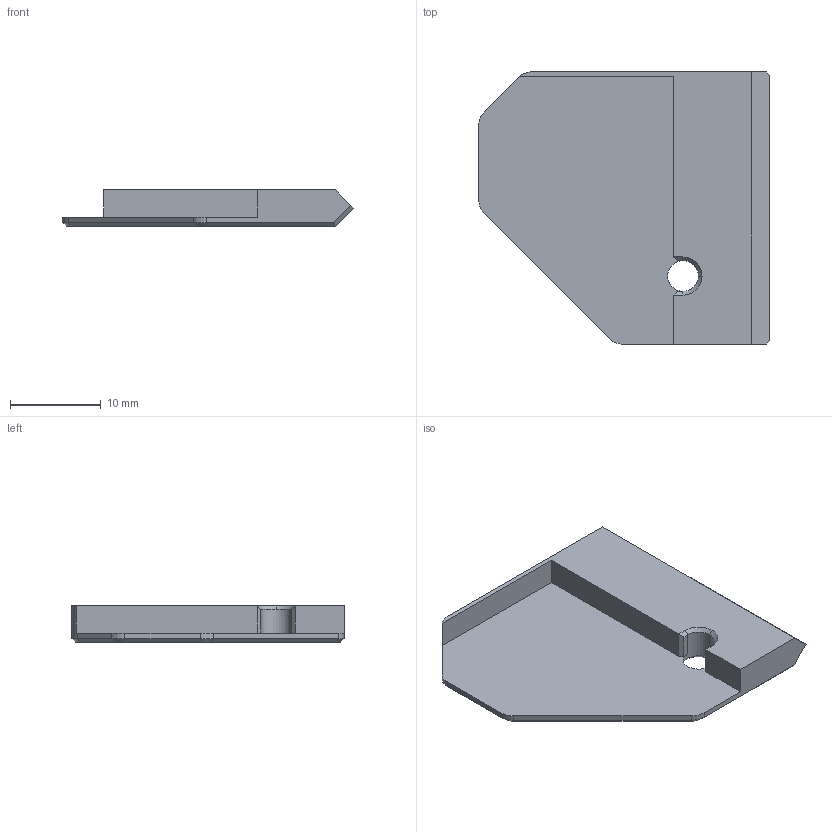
import cadquery as cq

length = 32.0
width = 30.0
height = 4.0

back_corner_cut = 5.0
front_corner_cut = 15.0
corner_radius = 2.0
nose_depth = height / 2

floor_thickness = 1.0
rear_wall = 0.5
step_x = 21.5

hole_diameter = 3.4
hole_setback = 1.0
hole_x = step_x + hole_setback
hole_y = 7.5

edge_chamfer = 0.4


def make_blank():
    """Pointed bar profile trimmed to the outline with cut and rounded corners."""
    nose_start = length - nose_depth
    bar = (
        cq.Workplane("XZ")
        .polyline([(0, 0), (nose_start, 0), (length, nose_depth), (nose_start, height), (0, height)])
        .close()
        .extrude(-width)
    )
    outline = (
        cq.Workplane("XY")
        .polyline([
            (front_corner_cut, 0),
            (length, 0),
            (length, width),
            (back_corner_cut, width),
            (0, width - back_corner_cut),
            (0, front_corner_cut),
        ])
        .close()
        .extrude(height)
        .edges("|Z and (not >X)")
        .fillet(corner_radius)
    )
    return bar.intersect(outline)


def chamfer_underside(body):
    """Chamfer the bottom outline and the ends of the lower nose bevel."""
    nose_ends = cq.selectors.BoxSelector(
        (length - nose_depth, -edge_chamfer, 0), (length, width + edge_chamfer, nose_depth)
    )
    bottom_outline = body.faces("<Z").edges("not >X")
    bevel_ends = body.edges(nose_ends).edges("not |Y")
    return bottom_outline.add(bevel_ends).chamfer(edge_chamfer)


def cut_pocket(body):
    """Lower the left area to the floor, leaving the thin rear wall."""
    pocket = cq.Workplane("XY").box(
        step_x, width - rear_wall, height - floor_thickness, centered=False
    )
    return body.cut(pocket.translate((0, 0, floor_thickness)))


def cut_screw_hole(body):
    """Drill the hole, open it to the pocket and chamfer the opening and both rims."""
    hole = cq.Workplane("XY").center(hole_x, hole_y).circle(hole_diameter / 2).extrude(height)
    opening = cq.Workplane("XY").box(
        hole_setback, hole_diameter, height - floor_thickness, centered=(False, True, False)
    )
    opening = opening.translate((step_x, hole_y, floor_thickness))
    body = body.cut(hole).cut(opening)

    reach = hole_diameter / 2 + edge_chamfer
    around_slot = cq.selectors.BoxSelector(
        (step_x - edge_chamfer, hole_y - reach, floor_thickness + edge_chamfer),
        (hole_x + reach, hole_y + reach, height + edge_chamfer),
    )
    slot_edges = body.edges(around_slot)
    rim = slot_edges.edges(">Z")
    mouth = slot_edges.edges("|Z").edges("<X")
    around_exit = cq.selectors.BoxSelector(
        (hole_x - reach, hole_y - reach, -edge_chamfer),
        (hole_x + reach, hole_y + reach, edge_chamfer),
    )
    underside_rim = body.edges(around_exit)
    return rim.add(mouth).add(underside_rim).chamfer(edge_chamfer)


result = cut_screw_hole(cut_pocket(chamfer_underside(make_blank())))